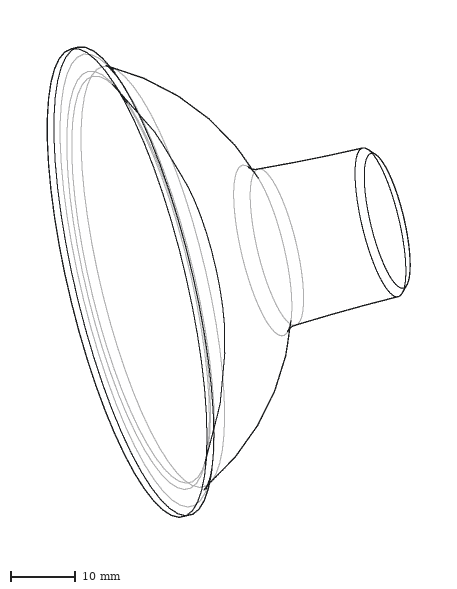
import cadquery as cq
import math

rim_radius = 37.5
rim_edge_height = 1.1
total_height = 43.0

outer_dome_radius = 37.7
outer_dome_centre_y = -12.75
cup_depth = 12.8
cup_edge_y = 2.3

lip_slope = 0.45
outer_lip_radius = 36.2
outer_dome_edge_radius = 33.7
inner_lip_radius = 33.45
cup_edge_radius = 32.55
outer_blend_sag = 0.3
inner_blend_sag = 0.02

stem_base_radius = 12.5
stem_base_y = 24.75
stem_tip_radius = 11.9
stem_side_sag = 0.11
stem_chamfer = 1.1
dome_top_radius = 13.65
stem_blend_sag = 0.3


def dome_point(radius):
    """Point of the outer dome at the given distance from the axis."""
    return radius, outer_dome_centre_y + math.sqrt(outer_dome_radius**2 - radius**2)


def arc_middle(start, end, sag):
    """Middle of an arc that bulges by sag to the left of start -> end."""
    dx = end[0] - start[0]
    dy = end[1] - start[1]
    chord = math.hypot(dx, dy)
    return (
        (start[0] + end[0]) / 2 - sag * dy / chord,
        (start[1] + end[1]) / 2 + sag * dx / chord,
    )


outer_lip = (outer_lip_radius, rim_edge_height + lip_slope * (rim_radius - outer_lip_radius))
inner_lip = (inner_lip_radius, lip_slope * (rim_radius - inner_lip_radius))
outer_dome_edge = dome_point(outer_dome_edge_radius)
outer_dome_middle = dome_point((outer_dome_edge_radius + dome_top_radius) / 2)
outer_dome_top = dome_point(dome_top_radius)
cup_edge = (cup_edge_radius, cup_edge_y)
cup_apex = (0, cup_depth)
cup_sagitta = cup_depth - cup_edge_y
cup_chord = math.hypot(cup_edge_radius, cup_sagitta)
cup_sphere_radius = cup_chord**2 / (2 * cup_sagitta)
cup_arc_sag = cup_sphere_radius - math.sqrt(cup_sphere_radius**2 - (cup_chord / 2) ** 2)
stem_base = (stem_base_radius, stem_base_y)
stem_tip = (stem_tip_radius, total_height - stem_chamfer)

half_section = (
    cq.Workplane("XY")
    .moveTo(rim_radius, 0)
    .lineTo(rim_radius, rim_edge_height)
    .lineTo(*outer_lip)
    .threePointArc(arc_middle(outer_lip, outer_dome_edge, outer_blend_sag), outer_dome_edge)
    .threePointArc(outer_dome_middle, outer_dome_top)
    .threePointArc(arc_middle(outer_dome_top, stem_base, stem_blend_sag), stem_base)
    .threePointArc(arc_middle(stem_base, stem_tip, stem_side_sag), stem_tip)
    .lineTo(stem_tip_radius - stem_chamfer, total_height)
    .lineTo(0, total_height)
    .lineTo(*cup_apex)
    .threePointArc(arc_middle(cup_apex, cup_edge, cup_arc_sag), cup_edge)
    .threePointArc(arc_middle(cup_edge, inner_lip, -inner_blend_sag), inner_lip)
    .close()
)

result = half_section.revolve(360, (0, 0, 0), (0, 1, 0))